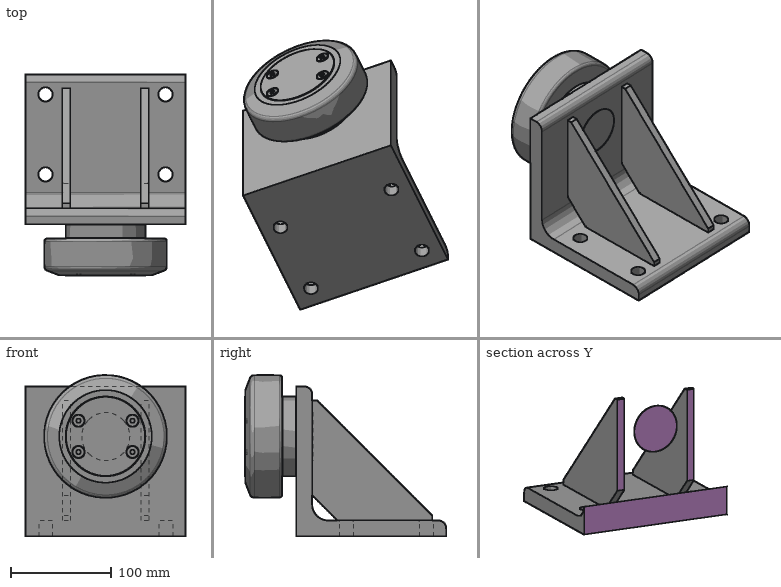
import cadquery as cq
import math

BRACKET_WIDTH = 160.0
LEG_LENGTH = 150.0
LEG_THICKNESS = 16.0
ROOT_RADIUS = 16.0
TOE_RADIUS = 8.0

MOUNT_HOLE_DIAMETER = 14.0
MOUNT_SPACING_X = 120.0
MOUNT_SPACING_Y = 80.0
MOUNT_BACK_INSET = 20.0

RIB_THICKNESS = 8.0
RIB_GAP = 70.0
RIB_LENGTH = 120.0
RIB_NOSE = 5.0
RIB_ROOT_CUT = 25.0

AXIS_HEIGHT = 100.0
ROLLER_RADIUS = 61.5
CROWN_RADIUS = 500.0
CROWN_START = 17.0
CROWN_END = 42.0
ROLLER_BACK = 14.0
BACK_EDGE_RADIUS = 3.0
SHOULDER_RADIUS = 4.7
CONE_ANGLE = 21.0
ROLLER_FRONT = 51.0
HUB_RADIUS = 40.0
HUB_CHAMFER = 0.5
COVER_FRONT = 51.5

PIN_DIAMETER = 48.0
PIN_PROTRUSION = 0.3

SCREW_CIRCLE_RADIUS = 31.2
SCREW_ANGLES = (30, 150, 210, 330)
SCREW_RECESS_DIAMETER = 12.4
SCREW_HEAD_DIAMETER = 11.7
SCREW_GAP_DEPTH = 0.5
SOCKET_CORNER_DIAMETER = 4.92
SOCKET_SIDES = 6
SOCKET_DEPTH = 2.0


def make_bracket():
    profile = (
        cq.Workplane("YZ")
        .moveTo(0, 0)
        .lineTo(LEG_LENGTH, 0)
        .lineTo(LEG_LENGTH, LEG_THICKNESS - TOE_RADIUS)
        .radiusArc((LEG_LENGTH - TOE_RADIUS, LEG_THICKNESS), -TOE_RADIUS)
        .lineTo(LEG_THICKNESS + ROOT_RADIUS, LEG_THICKNESS)
        .radiusArc((LEG_THICKNESS, LEG_THICKNESS + ROOT_RADIUS), ROOT_RADIUS)
        .lineTo(LEG_THICKNESS, LEG_LENGTH - TOE_RADIUS)
        .radiusArc((LEG_THICKNESS - TOE_RADIUS, LEG_LENGTH), -TOE_RADIUS)
        .lineTo(0, LEG_LENGTH)
        .close()
    )
    bracket = profile.extrude(BRACKET_WIDTH / 2, both=True)
    mount_centre_y = LEG_LENGTH - MOUNT_BACK_INSET - MOUNT_SPACING_Y / 2
    holes = (
        cq.Workplane("XY")
        .center(0, mount_centre_y)
        .rarray(MOUNT_SPACING_X, MOUNT_SPACING_Y, 2, 2)
        .circle(MOUNT_HOLE_DIAMETER / 2)
        .extrude(LEG_THICKNESS)
    )
    return bracket.cut(holes)


def make_rib(x_start):
    inner = LEG_THICKNESS
    outer = LEG_THICKNESS + RIB_LENGTH
    return (
        cq.Workplane("YZ", origin=(x_start, 0, 0))
        .polyline([
            (inner + RIB_ROOT_CUT, inner),
            (outer, inner),
            (outer, inner + RIB_NOSE),
            (inner + RIB_NOSE, outer),
            (inner, outer),
            (inner, inner + RIB_ROOT_CUT),
        ])
        .close()
        .extrude(RIB_THICKNESS)
    )


def make_roller():
    """Revolve the hub, crowned roller and cover about the horizontal roller axis."""
    half_crown = (CROWN_END - CROWN_START) / 2
    crown_drop = CROWN_RADIUS - math.sqrt(CROWN_RADIUS**2 - half_crown**2)
    crown_edge = ROLLER_RADIUS - crown_drop
    crown_middle = (CROWN_START + CROWN_END) / 2
    turn = math.radians(90 - CONE_ANGLE)
    cone_start_radius = crown_edge - SHOULDER_RADIUS * (1 - math.cos(turn))
    cone_start = CROWN_END + SHOULDER_RADIUS * math.sin(turn)
    front_face_radius = cone_start_radius - (ROLLER_FRONT - cone_start) * math.tan(turn)
    chamfered_radius = HUB_RADIUS - HUB_CHAMFER
    profile = (
        cq.Workplane("XY", origin=(0, 0, AXIS_HEIGHT))
        .moveTo(0, 0)
        .lineTo(chamfered_radius, 0)
        .lineTo(HUB_RADIUS, -HUB_CHAMFER)
        .lineTo(HUB_RADIUS, HUB_CHAMFER - ROLLER_BACK)
        .lineTo(chamfered_radius, -ROLLER_BACK)
        .lineTo(crown_edge - BACK_EDGE_RADIUS, -ROLLER_BACK)
        .radiusArc((crown_edge, -CROWN_START), BACK_EDGE_RADIUS)
        .threePointArc((ROLLER_RADIUS, -crown_middle), (crown_edge, -CROWN_END))
        .radiusArc((cone_start_radius, -cone_start), SHOULDER_RADIUS)
        .lineTo(front_face_radius, -ROLLER_FRONT)
        .lineTo(HUB_RADIUS, -ROLLER_FRONT)
        .lineTo(chamfered_radius, -COVER_FRONT)
        .lineTo(0, -COVER_FRONT)
        .close()
    )
    return profile.revolve(360, (0, 0, 0), (0, 1, 0))


def make_pin_end():
    return (
        cq.Workplane("XZ", origin=(0, LEG_THICKNESS, AXIS_HEIGHT))
        .circle(PIN_DIAMETER / 2)
        .extrude(-PIN_PROTRUSION)
    )


def make_screw_cut(degrees):
    """Ring gap around one screw head, together with its socket."""
    angle = math.radians(degrees)
    x = SCREW_CIRCLE_RADIUS * math.cos(angle)
    z = AXIS_HEIGHT + SCREW_CIRCLE_RADIUS * math.sin(angle)
    face = cq.Workplane("XZ", origin=(x, -COVER_FRONT, z))
    gap = (
        face.circle(SCREW_RECESS_DIAMETER / 2)
        .circle(SCREW_HEAD_DIAMETER / 2)
        .extrude(-SCREW_GAP_DEPTH)
    )
    socket = face.polygon(SOCKET_SIDES, SOCKET_CORNER_DIAMETER).extrude(-SOCKET_DEPTH)
    return gap.union(socket)


result = make_bracket()
for rib_start in (RIB_GAP / 2, -RIB_GAP / 2 - RIB_THICKNESS):
    result = result.union(make_rib(rib_start))
result = result.union(make_roller()).union(make_pin_end())
for screw_angle in SCREW_ANGLES:
    result = result.cut(make_screw_cut(screw_angle))